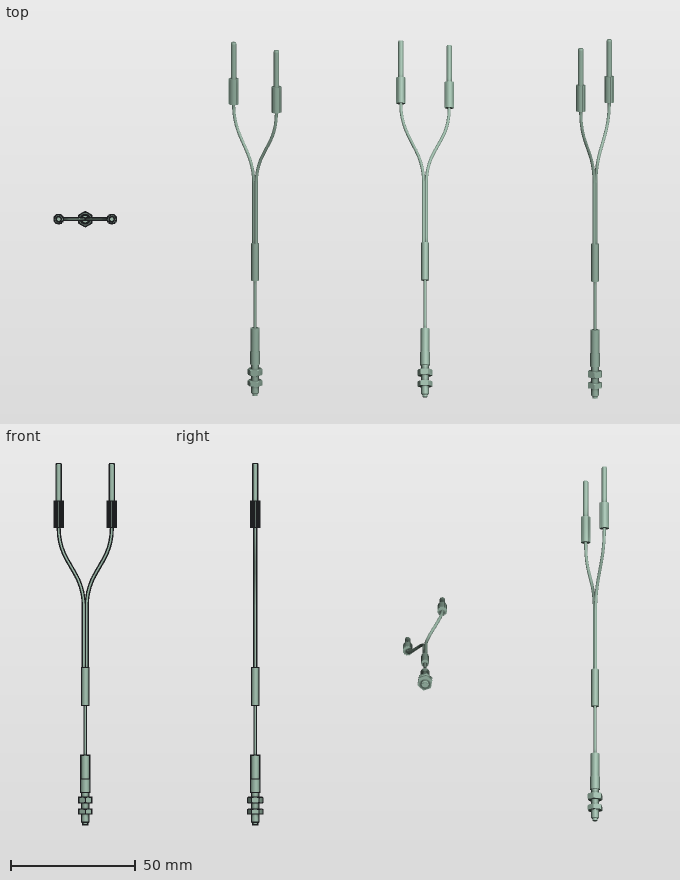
import cadquery as cq
import math

total_height = 144.9
total_width = 25.2

tip_diameter = 2.0
barrel_bottom = 0.9
barrel_diameter = 3.0
barrel_chamfer = 0.3

nut_across_corners = 6.2
nut_turning_diameter = 6.4
nut_chamfer = 0.5
lower_nut_bottom = 4.3
lower_nut_height = 2.0
upper_nut_bottom = 8.7
upper_nut_height = 2.5

collar_bottom = 13.0
collar_top = 18.4
collar_diameter = 3.9
sleeve_top = 28.0
sleeve_diameter = 3.6

cable_diameter = 1.0
splitter_bottom = 47.8
splitter_top = 63.2
splitter_diameter = 3.0

fibre_diameter = 1.25
fibre_spacing = 1.22

bend_bottom = 88.0
bend_top = 118.8
bend_angle = math.radians(30)

grip_bottom = 119.3
grip_top = 129.8
grip_diameter = 3.9
groove_count = 12
groove_width = 0.5
groove_depth = 0.22
pin_diameter = 2.2
pin_chamfer_height = 0.6
pin_chamfer_width = 0.1

fibre_x = fibre_spacing / 2
plug_x = (total_width - grip_diameter) / 2

bend_rise = bend_top - bend_bottom
bend_shift = plug_x - fibre_x
bend_radius = (bend_rise * math.sin(bend_angle) - bend_shift * math.cos(bend_angle)) / (
    2 * (1 - math.cos(bend_angle))
)


def cylinder(diameter, bottom, top, x=0):
    return cq.Workplane("XY", origin=(x, 0, bottom)).circle(diameter / 2).extrude(top - bottom)


def nut(bottom, height, chamfered_edges):
    """Hexagon nut whose corners are turned off along the chosen rims."""
    top = bottom + height
    hexagon = (
        cq.Workplane("XY", origin=(0, 0, bottom))
        .transformed(rotate=(0, 0, 30))
        .polygon(6, nut_across_corners)
        .extrude(height)
    )
    turned_disc = cylinder(nut_turning_diameter, bottom, top).edges(chamfered_edges).chamfer(nut_chamfer)
    return hexagon.intersect(turned_disc)


def head():
    """Tip, barrel with its nuts, collar and sleeve."""
    barrel = cylinder(barrel_diameter, barrel_bottom, collar_bottom).faces("<Z").chamfer(barrel_chamfer)
    return (
        cylinder(tip_diameter, 0, barrel_bottom)
        .union(barrel)
        .union(nut(lower_nut_bottom, lower_nut_height, ">Z"))
        .union(nut(upper_nut_bottom, upper_nut_height, "%CIRCLE"))
        .union(cylinder(collar_diameter, collar_bottom, collar_top))
        .union(cylinder(sleeve_diameter, collar_top, sleeve_top))
    )


def cable():
    """Single cable with the splitter on its upper end."""
    single = cylinder(cable_diameter, sleeve_top, splitter_bottom)
    return single.union(cylinder(splitter_diameter, splitter_bottom, splitter_top))


def lower_arc_point(angle):
    x = fibre_x + bend_radius * (1 - math.cos(angle))
    return (x, bend_bottom + bend_radius * math.sin(angle))


def upper_arc_point(angle):
    x = plug_x - bend_radius * (1 - math.cos(angle))
    return (x, bend_top - bend_radius * math.sin(angle))


def fibre():
    """Right-hand fibre: straight run, S-bend and short neck into the grip."""
    straight = cylinder(fibre_diameter, splitter_top, bend_bottom, fibre_x)
    path = (
        cq.Workplane("XZ")
        .moveTo(fibre_x, bend_bottom)
        .threePointArc(lower_arc_point(bend_angle / 2), lower_arc_point(bend_angle))
        .lineTo(*upper_arc_point(bend_angle))
        .threePointArc(upper_arc_point(bend_angle / 2), (plug_x, bend_top))
        .lineTo(plug_x, grip_bottom)
    )
    bend = cq.Workplane("XY", origin=(fibre_x, 0, bend_bottom)).circle(fibre_diameter / 2).sweep(path)
    return straight.union(bend)


def plug():
    """Right-hand plug: grip with lengthwise grooves and a chamfered pin."""
    half_pitch = 180 / groove_count
    grooves = (
        cq.Workplane("XY", origin=(plug_x, 0, grip_bottom))
        .polarArray(grip_diameter / 2, half_pitch, 360, groove_count)
        .rect(2 * groove_depth, groove_width)
        .extrude(grip_top - grip_bottom)
    )
    grip = cylinder(grip_diameter, grip_bottom, grip_top, plug_x).cut(grooves)
    pin = cylinder(pin_diameter, grip_top, total_height, plug_x)
    pin = pin.faces(">Z").edges().chamfer(pin_chamfer_height, pin_chamfer_width)
    return grip.union(pin)


right_branch = fibre().union(plug())
left_branch = right_branch.mirror("YZ")
result = head().union(cable()).union(right_branch).union(left_branch)